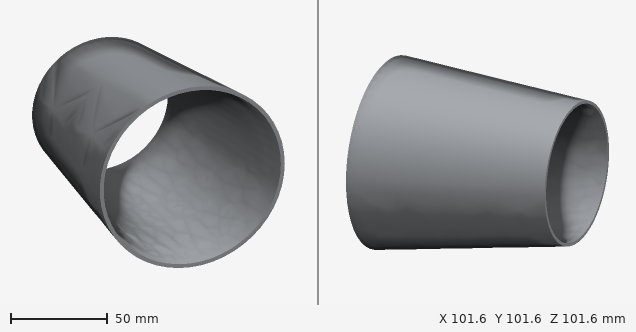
import cadquery as cq

length = 101.6
large_diameter = 101.6
small_diameter = 76.2
small_end_wall = 1.6
large_end_wall = 2.1

eccentricity = (large_diameter - small_diameter) / 2


def eccentric_cone(small_end_diameter, large_end_diameter):
    """Solid lofted from the small end at -X to the large end at +X."""
    return (
        cq.Workplane("YZ", origin=(-length / 2, 0, 0))
        .center(-eccentricity, 0)
        .circle(small_end_diameter / 2)
        .workplane(offset=length)
        .center(eccentricity, 0)
        .circle(large_end_diameter / 2)
        .loft(ruled=True)
    )


outer_body = eccentric_cone(small_diameter, large_diameter)
bore = eccentric_cone(small_diameter - 2 * small_end_wall, large_diameter - 2 * large_end_wall)

result = outer_body.cut(bore)